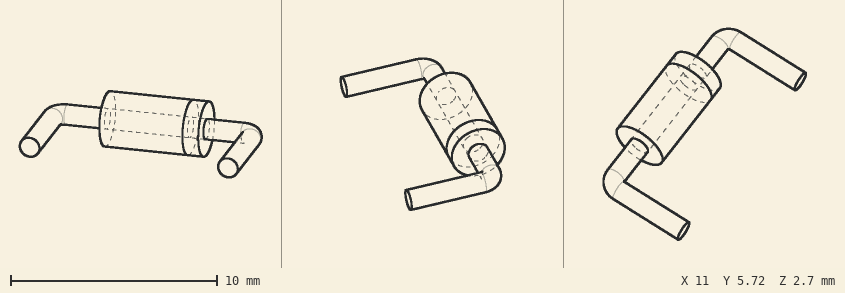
import cadquery as cq
import math


case_diameter = 2.7
case_length = 5.0
band_length = 0.8
body_length = case_length - band_length

wire_diameter = 1.0
leg_spacing = 10.02
leg_length = 4.35
leg_droop_angle = 3.2
bend_radius = 0.55

leg_x = leg_spacing / 2
left_leg_to_body = 2.6
body_start_x = -leg_x + left_leg_to_body
band_start_x = body_start_x + body_length


def sleeve(start_x, length):
    """Cylinder of the case diameter along X, bored through for the wire."""
    return (
        cq.Workplane("YZ", origin=(start_x, 0, 0))
        .circle(case_diameter / 2)
        .circle(wire_diameter / 2)
        .extrude(length)
    )


def bent_wire():
    """U-shaped round wire: left leg, straight run along the case axis, right leg."""
    bend_start_x = leg_x - bend_radius
    bend_middle = bend_radius * (1 - math.cos(math.radians(45)))
    bend_middle_x = leg_x - bend_middle

    wire_axis = (
        cq.Workplane("XY")
        .moveTo(-leg_x, -leg_length)
        .lineTo(-leg_x, -bend_radius)
        .threePointArc((-bend_middle_x, -bend_middle), (-bend_start_x, 0))
        .lineTo(bend_start_x, 0)
        .threePointArc((bend_middle_x, -bend_middle), (leg_x, -bend_radius))
        .lineTo(leg_x, -leg_length)
    )
    flat_wire = (
        cq.Workplane("XZ", origin=(-leg_x, -leg_length, 0))
        .circle(wire_diameter / 2)
        .sweep(wire_axis)
    )
    return flat_wire.rotate((0, 0, 0), (1, 0, 0), leg_droop_angle)


body = sleeve(body_start_x, body_length)
band = sleeve(band_start_x, band_length)
lead_wire = bent_wire()

result = cq.Compound.makeCompound([body.val(), band.val(), lead_wire.val()])